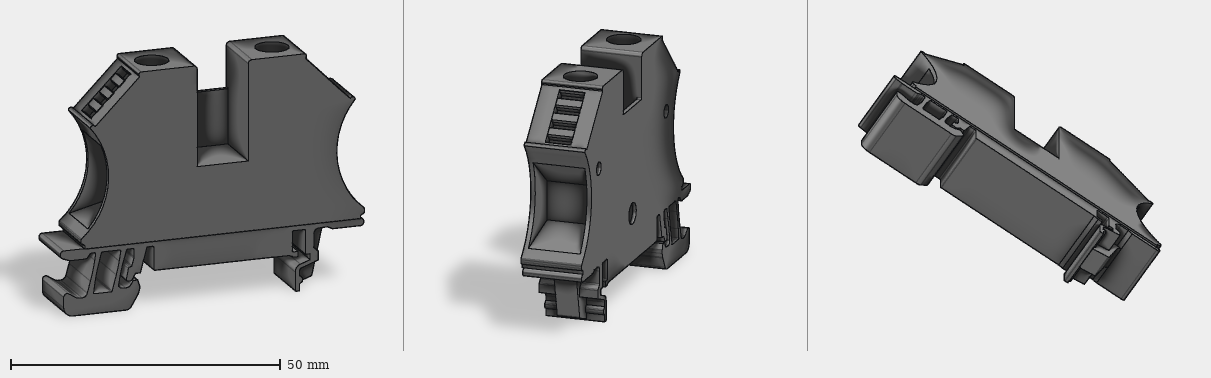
import cadquery as cq
import math

WIDTH = 12.0
BASE_WIDTH = 11.65
HEIGHT = 46.25
END_Y = 28.0
BASE_TOP = 12.9

SLOT_HALF = 5.05
RIM_Z = 37.3
RIM_THICKNESS = 0.9
CLAMP_Z = 26.6
TOWER_EDGE_Y = 16.55
LABEL_TOP_Y = 16.45
LABEL_TOP_Z = 45.35
LABEL_LOW_Y = 25.2
LABEL_LOW_Z = LABEL_TOP_Z - (LABEL_LOW_Y - LABEL_TOP_Y)
NECK_Y = 27.25

WAIST_Y = 22.55
WAIST_Z = 26.5
WAIST_RADIUS = 15.1

FUNNEL_WALL = 0.9
FUNNEL_BACK_Y = 16.1
FUNNEL_FLOOR_Z = 18.95
FUNNEL_MOUTH_Y = 27.0
FUNNEL_FLOOR_SLOPE = 0.24
FUNNEL_ROOF_SLOPE = 0.76

SCREW_Y = 11.9
SCREW_RADIUS = 3.2

PIN_Y = 18.55
PIN_Z = 30.9
PIN_RADIUS = 1.25
PIN_DEPTH = 2.4
CENTRE_RECESS_Z = 16.55
CENTRE_RECESS_RADIUS = 2.05
CENTRE_RECESS_DEPTH = 0.7

NOTCH_COUNT = 4
NOTCH_PITCH = 3.1
NOTCH_LENGTH = 1.75
NOTCH_DEPTH = 1.9
NOTCH_FLARE = 0.25
NOTCH_FLARE_DEPTH = 0.7
RUNG_RECESS = 0.1
NOTCH_SPAN = 5.05
NOTCH_X = 5.8
NOTCH_START = 0.65

DECK_Z = 11.9
LEDGE_Z = 11.4
RAIL_Z = 7.15
FLANGE_Y = -32.0
FLANGE_Z = 10.85
LEG_FACE_Y = 14.45
GAP_ROUND = 0.3
RIB_SETBACK = 3.6


def rounded_outline(corners):
    """Close a YZ outline of (y, z, radius) corners, with an arc at each radius above 0."""
    stretches = []
    for i, (y, z, radius) in enumerate(corners):
        here = cq.Vector(y, z)
        before = cq.Vector(*corners[i - 1][:2])
        after = cq.Vector(*corners[(i + 1) % len(corners)][:2])
        if radius == 0:
            stretches.append([here])
            continue
        to_before = (before - here).normalized()
        to_after = (after - here).normalized()
        half_angle = to_before.getAngle(to_after) / 2
        tangent = radius / math.tan(half_angle)
        bisector = (to_before + to_after).normalized()
        arc_middle = here + bisector * (radius / math.sin(half_angle) - radius)
        stretches.append([here + to_before * tangent, arc_middle, here + to_after * tangent])

    outline = cq.Workplane("YZ").moveTo(*stretches[0][-1].toTuple()[:2])
    for stretch in stretches[1:] + stretches[:1]:
        outline = outline.lineTo(*stretch[0].toTuple()[:2])
        if len(stretch) == 3:
            outline = outline.threePointArc(stretch[1].toTuple()[:2], stretch[2].toTuple()[:2])
    return outline.close()


def side_prism(corners, x_start, x_end):
    """Extrude a rounded YZ outline from x_start to x_end."""
    return rounded_outline(corners).extrude(x_end - x_start).translate((x_start, 0, 0))


def side_cylinder(y, z, radius, depth):
    """Cylinder along X that starts at the -X face."""
    return cq.Workplane("YZ").center(y, z).circle(radius).extrude(depth)


def mirrored_end(solid):
    """The same feature at both ends of the terminal."""
    return solid.union(solid.mirror("XZ"))


def housing():
    """Two towers over a waisted body with lips along the edges of the label faces."""
    half = [
        (SLOT_HALF, RIM_Z, 0.25),
        (SLOT_HALF, HEIGHT, 0.7),
        (TOWER_EDGE_Y, HEIGHT, 0.4),
        (TOWER_EDGE_Y, LABEL_TOP_Z + 0.3, 0),
        (LABEL_TOP_Y, LABEL_TOP_Z, 0),
        (LABEL_LOW_Y, LABEL_LOW_Z, 0),
        (LABEL_LOW_Y + 0.35, LABEL_LOW_Z + 0.3, 0.1),
        (LABEL_LOW_Y + 1.1, LABEL_LOW_Z + 0.05, 0.5),
        (WAIST_Y + 3.5, WAIST_Z + 9.25, 0),
        (WAIST_Y + 5.0, WAIST_Z - 11.1, 0),
        (END_Y, 14.9, 0.55),
        (END_Y, 14.0, 0.5),
        (NECK_Y, 13.55, 0),
        (NECK_Y, BASE_TOP, 0),
    ]
    other_half = [(-y, z, radius) for y, z, radius in reversed(half)]
    body = side_prism(half + other_half, 0, WIDTH)
    waist = side_cylinder(WAIST_Y + WAIST_RADIUS, WAIST_Z, WAIST_RADIUS, WIDTH)
    return body.cut(mirrored_end(waist))


def slot_channel():
    """Deep part of the slot behind the thin rim, open towards +X."""
    return cq.Workplane("XY").box(
        WIDTH - RIM_THICKNESS, 2 * SLOT_HALF, HEIGHT - CLAMP_Z, centered=(False, True, False)
    ).translate((RIM_THICKNESS, 0, CLAMP_Z))


def wire_funnel():
    """Pocket that widens outwards from the clamp to the waist surface."""
    run = FUNNEL_MOUTH_Y - FUNNEL_BACK_Y
    corners = [
        (FUNNEL_BACK_Y, FUNNEL_FLOOR_Z, 0),
        (FUNNEL_BACK_Y, CLAMP_Z, 0),
        (FUNNEL_MOUTH_Y, CLAMP_Z + run * FUNNEL_ROOF_SLOPE, 0),
        (FUNNEL_MOUTH_Y, FUNNEL_FLOOR_Z - run * FUNNEL_FLOOR_SLOPE, 0),
    ]
    return side_prism(corners, FUNNEL_WALL, WIDTH - FUNNEL_WALL)


def screw_hole():
    return (
        cq.Workplane("XY", origin=(WIDTH / 2, SCREW_Y, CLAMP_Z))
        .circle(SCREW_RADIUS)
        .extrude(HEIGHT - CLAMP_Z)
    )


def label_notches():
    """Row of notches cut square to the 45 degree label face, each with flared end walls."""
    face = cq.Workplane(
        cq.Plane(
            origin=(NOTCH_X - NOTCH_SPAN / 2, LABEL_TOP_Y, LABEL_TOP_Z),
            xDir=(0, 1, -1),
            normal=(1, 0, 0),
        )
    )
    row_end = NOTCH_START + (NOTCH_COUNT - 1) * NOTCH_PITCH + NOTCH_LENGTH
    row = (
        face.moveTo(NOTCH_START, 0)
        .lineTo(row_end, 0)
        .lineTo(row_end, -RUNG_RECESS)
        .lineTo(NOTCH_START, -RUNG_RECESS)
        .close()
        .extrude(NOTCH_SPAN)
    )
    for i in range(NOTCH_COUNT):
        upper = NOTCH_START + i * NOTCH_PITCH
        lower = upper + NOTCH_LENGTH
        profile = [
            (upper, 0),
            (upper + NOTCH_FLARE, -NOTCH_FLARE_DEPTH),
            (upper + NOTCH_FLARE, -NOTCH_DEPTH),
            (lower - NOTCH_FLARE, -NOTCH_DEPTH),
            (lower - NOTCH_FLARE, -NOTCH_FLARE_DEPTH),
            (lower, 0),
        ]
        row = row.union(face.polyline(profile).close().extrude(NOTCH_SPAN))
    return row


def base():
    """Deck, spring leg, rail block, latch and release foot as one outline."""
    ledge = [
        (NECK_Y, BASE_TOP, 0),
        (END_Y, BASE_TOP, 0.7),
        (END_Y, LEDGE_Z, 0.7),
        (21.8, LEDGE_Z, 0),
        (20.9, DECK_Z, 0),
    ]
    leg = [
        (18.1, DECK_Z, 1.1),
        (18.1, 8.15, 0.35),
        (19.0, 7.4, 0.3),
        (19.0, 5.65, 0),
        (15.3, 4.3, 0.6),
        (15.3, 3.0, 0),
        (15.9, 2.5, 0.3),
        (15.9, 1.8, 0.3),
        (15.3, 1.4, 0),
        (15.3, 0, 0),
        (LEG_FACE_Y, 0, 0.2),
        (LEG_FACE_Y, 4.85, 1.5),
        (17.4, 5.9, 0),
        (17.4, 7.0, 0),
        (16.5, 7.0, 0),
        (16.5, DECK_Z, GAP_ROUND),
    ]
    rail_block = [
        (13.85, DECK_Z, GAP_ROUND),
        (13.85, 7.75, GAP_ROUND),
        (15.0, 7.75, 0),
        (15.0, 6.7, 0),
        (14.1, 6.7, 0),
        (13.2, RAIL_Z, 0),
        (-13.5, RAIL_Z, 0.2),
        (-13.5, DECK_Z, GAP_ROUND),
    ]
    latch = [
        (-14.9, DECK_Z, GAP_ROUND),
        (-16.15, 6.95, 0),
        (-17.1, 6.95, 0.2),
        (-17.95, 5.65, 0),
        (-19.0, 5.65, 0.3),
        (-18.5, 8.3, 0.3),
        (-17.9, 8.45, 0.25),
        (-17.4, 10.1, 0.9),
        (-17.4, DECK_Z, GAP_ROUND),
    ]
    inner_arm = [
        (-18.85, DECK_Z, GAP_ROUND),
        (-20.0, 8.0, 30.0),
        (-20.6, 4.45, 0.7),
        (-18.35, 4.3, 1.2),
        (-17.6, 5.65, 0),
    ]
    foot = [
        (-16.7, 5.65, 0),
        (-16.2, 4.2, 1.2),
        (-16.55, 2.95, 0.9),
        (-18.3, 0, 1.3),
        (-31.3, 0, 1.8),
        (-31.3, 5.05, 0.65),
        (-28.6, 3.35, 1.2),
        (-26.9, 3.35, 1.1),
    ]
    outer_arm = [
        (-25.5, 8.4, 36.0),
        (-24.95, DECK_Z, GAP_ROUND),
    ]
    flange = [
        (-26.0, DECK_Z, 0.5),
        (-26.75, FLANGE_Z, 0.7),
        (-30.2, FLANGE_Z, 0.6),
        (FLANGE_Y, 11.5, 0.7),
        (FLANGE_Y, BASE_TOP, 0.65),
        (-NECK_Y, BASE_TOP, 0),
    ]
    corners = ledge + leg + rail_block + latch + inner_arm + foot + outer_arm + flange
    return side_prism(corners, 0, BASE_WIDTH)


def foot_window():
    """Opening between the two flexible arms of the foot."""
    corners = [
        (-20.0, DECK_Z, GAP_ROUND),
        (-23.8, DECK_Z, GAP_ROUND),
        (-24.9, 7.8, 30.0),
        (-25.45, 3.9, 0.2),
        (-21.8, 3.9, 0.2),
        (-20.6, 8.4, 30.0),
    ]
    return side_prism(corners, 0, BASE_WIDTH)


def leg_rib():
    """Stiffening rib on the outer side of the leg, set back from both faces."""
    corners = [
        (21.8, LEDGE_Z, 0),
        (21.0, 10.5, 0.5),
        (19.0, 1.5, 0.35),
        (15.2, 0.2, 0),
        (15.2, 4.6, 0),
        (18.5, 5.8, 0),
        (18.0, DECK_Z, 0),
        (20.9, DECK_Z, 0),
    ]
    return side_prism(corners, RIB_SETBACK, BASE_WIDTH - RIB_SETBACK)


result = housing().union(base().cut(foot_window())).union(leg_rib())
result = result.cut(slot_channel())
for end_feature in (wire_funnel(), screw_hole(), label_notches()):
    result = result.cut(mirrored_end(end_feature))
for pin_y in (PIN_Y, -PIN_Y):
    result = result.cut(side_cylinder(pin_y, PIN_Z, PIN_RADIUS, PIN_DEPTH))
result = result.cut(side_cylinder(0, CENTRE_RECESS_Z, CENTRE_RECESS_RADIUS, CENTRE_RECESS_DEPTH))